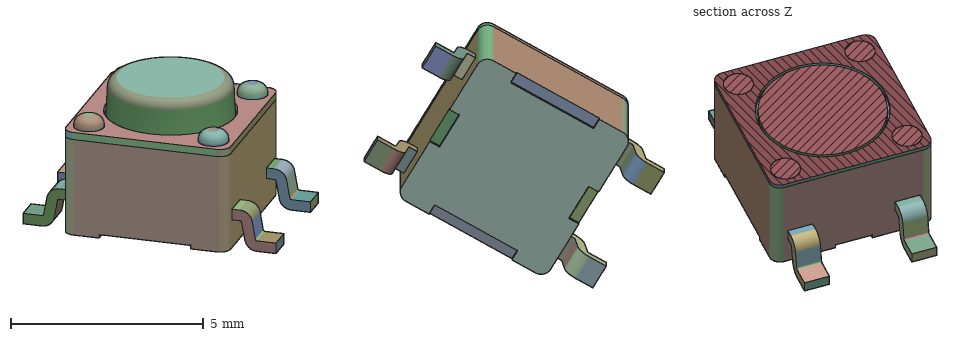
import cadquery as cq
import math


housing_side = 4.5
corner_radius = 0.3
standoff = 0.02
cover_top = 2.905
cover_thickness = 0.2
base_top = cover_top - cover_thickness

button_top = 3.81
button_foot_radius = 1.7
button_draft = 3
button_edge_radius = 0.25
cover_hole_radius = 1.745

stake_radius = 0.4
stake_head = 0.305
stake_edge_radius = 0.255
stake_offset = 1.7

notch_height = 0.1
notch_depth = 0.3
notch_length_along_x = 2.5
notch_length_along_y = 1.02

lead_span = 6.9
lead_width = 0.7
lead_thickness = 0.3
lead_offset = 1.5
lead_top = 1.105
lead_inner_bend = 0.05
lead_outer_bend = lead_inner_bend + lead_thickness
lead_lean = math.radians(10)
upper_bend_x = 2.46


def housing_block(bottom, height):
    """Square block with rounded vertical edges."""
    block = cq.Workplane("XY").workplane(offset=bottom).rect(housing_side, housing_side).extrude(height)
    return block.edges("|Z").fillet(corner_radius)


def stake_places(bottom):
    """Workplane with the four stake axes as its points."""
    spacing = 2 * stake_offset
    plane = cq.Workplane("XY").workplane(offset=bottom)
    return plane.rect(spacing, spacing, forConstruction=True).vertices()


def make_cover():
    hole = cq.Workplane("XY").workplane(offset=base_top).circle(cover_hole_radius).extrude(cover_thickness)
    stake_holes = stake_places(base_top).circle(stake_radius).extrude(cover_thickness)
    return housing_block(base_top, cover_thickness).cut(hole).cut(stake_holes)


def make_button():
    button = (
        cq.Workplane("XY")
        .workplane(offset=base_top)
        .circle(button_foot_radius)
        .extrude(button_top - base_top, taper=button_draft)
    )
    return button.faces(">Z").edges().fillet(button_edge_radius)


def make_stakes():
    stakes = stake_places(base_top).circle(stake_radius).extrude(cover_thickness + stake_head)
    return stakes.faces(">Z").edges().fillet(stake_edge_radius)


def make_notches():
    """Cutters for the notches, one at the middle of each side."""
    reach = housing_side / 2 - notch_depth / 2
    plane = cq.Workplane("XY").workplane(offset=standoff)
    y_sides = plane.pushPoints([(0, reach), (0, -reach)])
    x_sides = plane.pushPoints([(reach, 0), (-reach, 0)])
    y_notches = y_sides.rect(notch_length_along_x, notch_depth).extrude(notch_height)
    x_notches = x_sides.rect(notch_depth, notch_length_along_y).extrude(notch_height)
    return y_notches.union(x_notches)


def make_lead(side, y_centre):
    """Lead on the +X (side=1) or -X (side=-1) face: shoulder, leaning leg and flat foot."""
    upper_z = lead_top - lead_outer_bend
    lower_z = lead_outer_bend
    drop = upper_z - lower_z
    run = (lead_inner_bend + lead_outer_bend + drop * math.sin(lead_lean)) / math.cos(lead_lean)
    upper_centre = (upper_bend_x, upper_z)
    lower_centre = (upper_bend_x + run, lower_z)

    def on_bend(centre, radius, angle):
        return (side * (centre[0] + radius * math.cos(angle)), centre[1] + radius * math.sin(angle))

    up = math.pi / 2
    down = -math.pi / 2
    upper_end = lead_lean
    lower_end = lead_lean - math.pi
    upper_middle = (up + upper_end) / 2
    lower_middle = (down + lower_end) / 2
    face = side * housing_side / 2
    tip = side * lead_span / 2

    profile = (
        cq.Workplane("XZ", origin=(0, y_centre, 0))
        .moveTo(face, lead_top)
        .lineTo(*on_bend(upper_centre, lead_outer_bend, up))
        .threePointArc(on_bend(upper_centre, lead_outer_bend, upper_middle),
                       on_bend(upper_centre, lead_outer_bend, upper_end))
        .lineTo(*on_bend(lower_centre, lead_inner_bend, lower_end))
        .threePointArc(on_bend(lower_centre, lead_inner_bend, lower_middle),
                       on_bend(lower_centre, lead_inner_bend, down))
        .lineTo(tip, lead_thickness)
        .lineTo(tip, 0)
        .lineTo(*on_bend(lower_centre, lead_outer_bend, down))
        .threePointArc(on_bend(lower_centre, lead_outer_bend, lower_middle),
                       on_bend(lower_centre, lead_outer_bend, lower_end))
        .lineTo(*on_bend(upper_centre, lead_inner_bend, upper_end))
        .threePointArc(on_bend(upper_centre, lead_inner_bend, upper_middle),
                       on_bend(upper_centre, lead_inner_bend, up))
        .lineTo(face, lead_top - lead_thickness)
        .close()
    )
    return profile.extrude(lead_width / 2, both=True)


def make_base():
    base = housing_block(standoff, base_top - standoff).cut(make_notches())
    base = base.union(make_button()).union(make_stakes())
    for side in (-1, 1):
        for y_centre in (-lead_offset, lead_offset):
            base = base.union(make_lead(side, y_centre))
    return base


base = make_base()
cover = make_cover()
result = cq.Compound.makeCompound([base.val(), cover.val()])